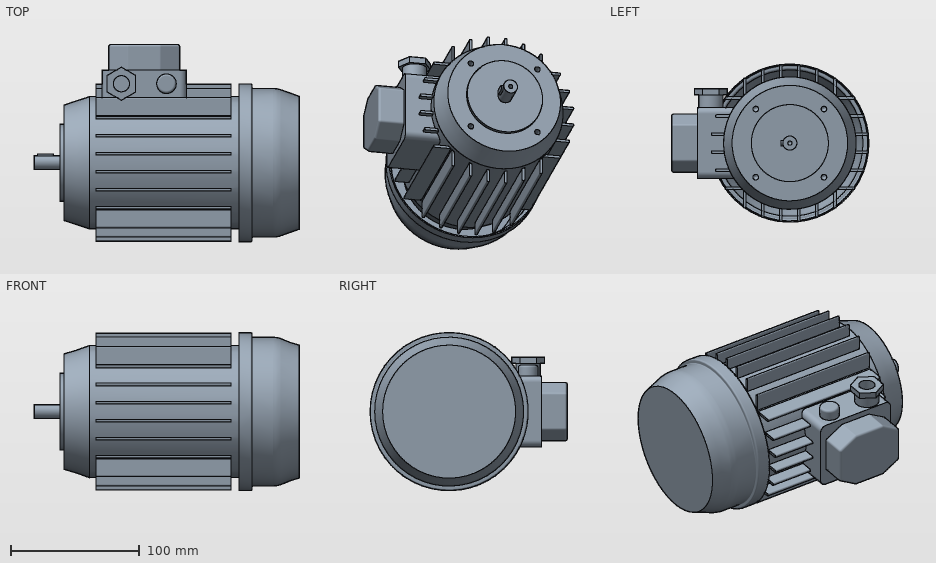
import cadquery as cq
import math


OVERALL_LENGTH = 206.0
OVERALL_WIDTH = 153.5
MOTOR_DIAMETER = 123.0

SHAFT_LENGTH = 20.0
PILOT_HEIGHT = 3.0
SHIELD_LENGTH = 20.0
FIN_START_X = 48.0
FIN_END_X = 153.0
COVER_START_X = 159.0
STATOR_END_X = 162.1

PILOT_X = SHAFT_LENGTH
SHIELD_FACE_X = PILOT_X + PILOT_HEIGHT
STATOR_START_X = SHIELD_FACE_X + SHIELD_LENGTH

SHAFT_DIAMETER = 11.0
CENTRE_HOLE_DIAMETER = 3.3
CENTRE_HOLE_DEPTH = 8.2
PILOT_DIAMETER = 60.0
SHIELD_FACE_RADIUS = 45.0
MOUNT_HOLE_DIAMETER = 4.3
MOUNT_HOLE_DEPTH = 9.9
MOUNT_HOLE_CIRCLE_RADIUS = 37.5
MOUNT_HOLE_COUNT = 4
DRILL_POINT_ANGLE = 118
KEY_START_X = 2.5
KEY_LENGTH = 12.5
KEY_WIDTH = 4.1
KEY_TOP_Y = 6.8

STATOR_RADIUS = 51.5
FIN_THICKNESS = 2.0
FIN_PITCH = 14.0
FINS_PER_SIDE = 6

BOX_START_X = 52.7
BOX_LENGTH = 65.5
BOX_HEIGHT = 55.2
BOX_OUTER_Y = 71.9
BOX_CORNER_RADIUS = 5.0
BOX_CENTRE_X = BOX_START_X + BOX_LENGTH / 2

LID_LENGTH = 55.5
LID_HEIGHT = 45.5
LID_OUTER_Y = OVERALL_WIDTH - MOTOR_DIAMETER / 2
LID_CORNER_X = 15.0
LID_CORNER_Z = 8.7
LID_EDGE_RADIUS = 2.0

FITTING_Y = 61.4
GLAND_X = 67.8
GLAND_STEM_DIAMETER = 19.0
GLAND_NUT_FLATS = 22.2
GLAND_NUT_BOTTOM_Z = 37.5
GLAND_NUT_TOP_Z = 42.5
GLAND_BORE_DIAMETER = 12.5
PLUG_X = 102.8
PLUG_DIAMETER = 15.2
PLUG_TOP_Z = 36.0
PLUG_EDGE_RADIUS = 1.9
BOX_TOP_Z = BOX_HEIGHT / 2

COVER_WALL = 1.0
RIM_LENGTH = 10.3
COVER_RADIUS = 57.9
COVER_END_RADIUS = 51.7
SHOULDER_X = 188.7
RIM_EDGE_RADIUS = 1.2
NECK_RADIUS = 0.6
SHOULDER_RADIUS = 17.5


def plane_along_y(start_y):
    """Workplane at start_y centred on the terminal box; it faces -Y, so growth toward +Y is negative."""
    return cq.Workplane("XZ", origin=(BOX_CENTRE_X, start_y, 0))


def drilled_hole(start_x, diameter, depth):
    """Tool for a blind hole along +X on the motor axis, with a conical drill point past its depth."""
    radius = diameter / 2
    point_length = radius / math.tan(math.radians(DRILL_POINT_ANGLE / 2))
    end_x = start_x + depth
    outline = [(start_x, 0), (start_x, radius), (end_x, radius), (end_x + point_length, 0)]
    return cq.Workplane("XY").polyline(outline).close().revolve(360, (0, 0, 0), (1, 0, 0))


def make_key():
    """Round-ended key lying along the +Y side of the shaft, seated on the shaft axis plane."""
    middle_x = KEY_START_X + KEY_LENGTH / 2
    return cq.Workplane("XZ").center(middle_x, 0).slot2D(KEY_LENGTH, KEY_WIDTH).extrude(-KEY_TOP_Y)


def make_end_shield():
    shaft_radius = SHAFT_DIAMETER / 2
    pilot_radius = PILOT_DIAMETER / 2
    outline = [
        (0, 0),
        (0, -shaft_radius),
        (PILOT_X, -shaft_radius),
        (PILOT_X, -pilot_radius),
        (SHIELD_FACE_X, -pilot_radius),
        (SHIELD_FACE_X, -SHIELD_FACE_RADIUS),
        (STATOR_START_X, -STATOR_RADIUS),
        (STATOR_START_X, 0),
    ]
    shield = cq.Workplane("XY").polyline(outline).close().revolve(360, (0, 0, 0), (1, 0, 0))
    centre_hole = drilled_hole(0, CENTRE_HOLE_DIAMETER, CENTRE_HOLE_DEPTH)
    shield = shield.union(make_key()).cut(centre_hole)
    for index in range(MOUNT_HOLE_COUNT):
        hole = drilled_hole(SHIELD_FACE_X, MOUNT_HOLE_DIAMETER, MOUNT_HOLE_DEPTH)
        hole = hole.translate((0, MOUNT_HOLE_CIRCLE_RADIUS, 0))
        angle = (index + 0.5) * 360 / MOUNT_HOLE_COUNT
        shield = shield.cut(hole.rotate((0, 0, 0), (1, 0, 0), angle))
    return shield


def make_fin(offset):
    """Upright plate across the stator, with full-round tips that reach the motor diameter."""
    tip_radius = math.sqrt((MOTOR_DIAMETER / 2) ** 2 - offset**2)
    profile = cq.Workplane("YZ", origin=(FIN_START_X, offset, 0)).slot2D(2 * tip_radius, FIN_THICKNESS, 90)
    return profile.extrude(FIN_END_X - FIN_START_X)


def make_fins():
    """Upright fins above and below the stator, and the same set turned onto the +Y and -Y sides."""
    upright = cq.Workplane("XY")
    for index in range(FINS_PER_SIDE):
        offset = (index - (FINS_PER_SIDE - 1) / 2) * FIN_PITCH
        upright = upright.union(make_fin(offset))
    level = upright.rotate((0, 0, 0), (1, 0, 0), 90)
    return upright.union(level)


def make_lid():
    """Eight-sided lid with rounded outer edges."""
    half_x = LID_LENGTH / 2
    half_z = LID_HEIGHT / 2
    flat_x = half_x - LID_CORNER_X
    flat_z = half_z - LID_CORNER_Z
    outline = [
        (-half_x, -flat_z),
        (-flat_x, -half_z),
        (flat_x, -half_z),
        (half_x, -flat_z),
        (half_x, flat_z),
        (flat_x, half_z),
        (-flat_x, half_z),
        (-half_x, flat_z),
    ]
    lid = plane_along_y(BOX_OUTER_Y).polyline(outline).close().extrude(BOX_OUTER_Y - LID_OUTER_Y)
    return lid.edges("|Y").fillet(LID_EDGE_RADIUS).faces(">Y").edges().fillet(LID_EDGE_RADIUS)


def make_gland():
    """Cable gland: round stem, hexagonal nut with corners toward +Y and -Y."""
    base = cq.Workplane("XY", origin=(GLAND_X, FITTING_Y, 0))
    nut_corners = GLAND_NUT_FLATS / math.cos(math.pi / 6)
    stem = base.circle(GLAND_STEM_DIAMETER / 2).extrude(GLAND_NUT_BOTTOM_Z)
    nut = (
        base.workplane(offset=GLAND_NUT_BOTTOM_Z)
        .transformed(rotate=(0, 0, 90))
        .polygon(6, nut_corners)
        .extrude(GLAND_NUT_TOP_Z - GLAND_NUT_BOTTOM_Z)
    )
    return stem.union(nut)


def make_gland_bore():
    """Blind bore of the gland, ending level with the top of the box."""
    base = cq.Workplane("XY", origin=(GLAND_X, FITTING_Y, BOX_TOP_Z))
    return base.circle(GLAND_BORE_DIAMETER / 2).extrude(GLAND_NUT_TOP_Z - BOX_TOP_Z)


def make_plug():
    plug = cq.Workplane("XY", origin=(PLUG_X, FITTING_Y, 0)).circle(PLUG_DIAMETER / 2).extrude(PLUG_TOP_Z)
    return plug.faces(">Z").edges().fillet(PLUG_EDGE_RADIUS)


def make_terminal_box():
    box = plane_along_y(0).rect(BOX_LENGTH, BOX_HEIGHT).extrude(-BOX_OUTER_Y)
    box = box.edges("|Y").fillet(BOX_CORNER_RADIUS)
    return box.union(make_lid()).union(make_gland()).union(make_plug()).cut(make_gland_bore())


def make_stator():
    taper_end_x = STATOR_END_X + SHIELD_LENGTH
    outline = [
        (STATOR_START_X, 0),
        (STATOR_START_X, STATOR_RADIUS),
        (STATOR_END_X, STATOR_RADIUS),
        (taper_end_x, SHIELD_FACE_RADIUS),
        (taper_end_x, 0),
    ]
    core = cq.Workplane("XZ").polyline(outline).close().revolve(360, (0, 0, 0), (1, 0, 0))
    return core.union(make_fins()).union(make_terminal_box())


def cover_form(inset):
    """Revolved cover shape, moved in from the outer surface by inset and open toward -X."""
    rim_radius = MOTOR_DIAMETER / 2 - inset
    body_radius = COVER_RADIUS - inset
    rim_end_x = COVER_START_X + RIM_LENGTH - inset
    end_x = OVERALL_LENGTH - inset
    rim_corner = (rim_end_x, -rim_radius)
    neck_corner = (rim_end_x, -body_radius)
    shoulder_corner = (SHOULDER_X, -body_radius)
    outline = [
        (COVER_START_X, 0),
        (COVER_START_X, -rim_radius),
        rim_corner,
        neck_corner,
        shoulder_corner,
        (end_x, -(COVER_END_RADIUS - inset)),
        (end_x, 0),
        (COVER_START_X, 0),
    ]
    roundings = [
        (rim_corner, RIM_EDGE_RADIUS),
        (neck_corner, NECK_RADIUS + inset),
        (shoulder_corner, SHOULDER_RADIUS - inset),
    ]
    sketch = cq.Sketch().polygon(outline)
    for (x, y), radius in roundings:
        corner = cq.NearestToPointSelector((x, y, 0))
        sketch = sketch.reset().vertices(corner).fillet(radius)
    return cq.Workplane("XY").placeSketch(sketch.reset()).revolve(360, (0, 0, 0), (1, 0, 0))


def make_fan_cover():
    """Thin shell, closed at the rear, with the same rim edge radius inside and outside."""
    return cover_form(0).cut(cover_form(COVER_WALL))


end_shield = make_end_shield()
stator = make_stator()
fan_cover = make_fan_cover()

result = cq.Compound.makeCompound([end_shield.val(), stator.val(), fan_cover.val()])